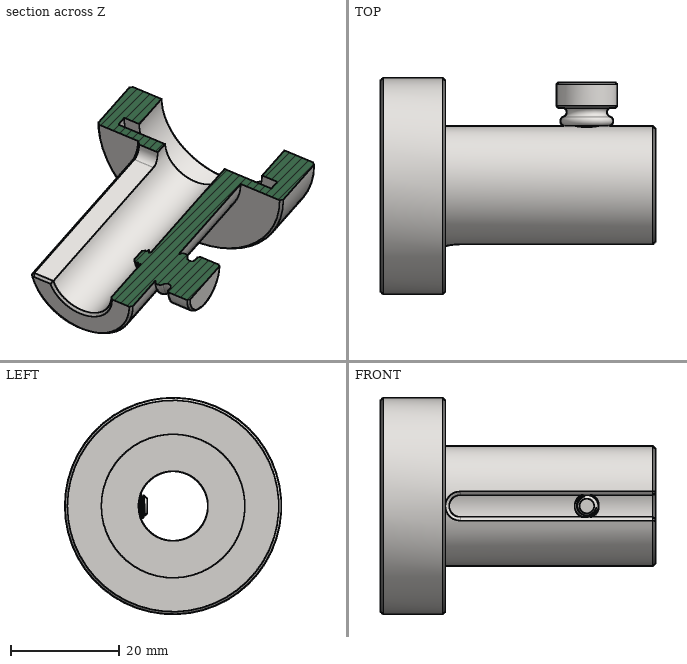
import cadquery as cq
import math

total_length = 50.8
flange_length = 12.0
flange_radius = 20.005
shaft_radius = 11.1
edge_chamfer = 0.5

counterbore_radius = 13.25
counterbore_lip = 8.0
undercut_radius = 16.5
counterbore_depth = 10.0
bore_radius = 6.4

slot_half_width = 2.0
slot_bevel = 0.7
slot_center_x = flange_length + slot_half_width + slot_bevel

screw_x = 38.1
knob_radius = 5.65
knob_top = 19.2
knob_bottom = 14.4
knob_chamfer = 0.4
collar_tube_radius = 0.9
collar_center_radius = 4.0
collar_center_height = shaft_radius + collar_tube_radius
neck_start_angle = math.radians(70)
neck_arc_radius = 0.85

thread_radius = 2.25
thread_pitch = 0.75
core_radius = 1.75
root_overlap = 0.1
ridge_base_radius = core_radius - root_overlap
ridge_base_width = 0.65
ridge_crest_width = thread_pitch / 8
thread_start = 3.91
thread_turns = 5
thread_clearance = 0.25
tip_radius = 1.35
tip_height = 4.75
stem_root = bore_radius + 1


def x_cylinder(radius, start, end):
    """Cylinder on the main axis between two X stations."""
    return cq.Workplane("YZ").workplane(offset=start).circle(radius).extrude(end - start)


def make_shaft():
    """Bored shaft with a bevelled slot and a chamfered free end."""
    shaft = x_cylinder(shaft_radius, 0, total_length)
    shaft = shaft.cut(x_cylinder(bore_radius, 0, total_length))
    slot = (
        cq.Workplane("XZ")
        .moveTo(total_length, slot_half_width)
        .lineTo(slot_center_x, slot_half_width)
        .threePointArc((slot_center_x - slot_half_width, 0), (slot_center_x, -slot_half_width))
        .lineTo(total_length, -slot_half_width)
        .close()
        .extrude(2 * shaft_radius)
    )
    shaft = shaft.cut(slot)
    mouth_edges = cq.selectors.BoxSelector(
        (flange_length, -2 * shaft_radius, -2 * slot_half_width),
        (total_length - edge_chamfer / 2, -(shaft_radius + bore_radius) / 2, 2 * slot_half_width),
    )
    shaft = shaft.edges(mouth_edges).chamfer(slot_bevel)
    return shaft.faces(">X").edges().chamfer(edge_chamfer)


def make_flange():
    """Chamfered disc with the shaft bore through it."""
    flange = x_cylinder(flange_radius, 0, flange_length).edges().chamfer(edge_chamfer)
    return flange.cut(x_cylinder(bore_radius, 0, flange_length))


def make_recess():
    """Counterbore with its undercut, as a solid to remove."""
    counterbore = x_cylinder(counterbore_radius, 0, counterbore_depth)
    return counterbore.union(x_cylinder(undercut_radius, counterbore_lip, counterbore_depth))


def make_thread():
    """Screw stem with a helical ridge and a conical tip, standing on its own Z axis."""
    helix = cq.Wire.makeHelix(thread_pitch, thread_turns * thread_pitch, thread_radius)
    helix = helix.translate(cq.Vector(0, 0, thread_start))
    ridge = (
        cq.Workplane("XZ")
        .moveTo(ridge_base_radius, thread_start - ridge_base_width / 2)
        .lineTo(thread_radius, thread_start - ridge_crest_width / 2)
        .lineTo(thread_radius, thread_start + ridge_crest_width / 2)
        .lineTo(ridge_base_radius, thread_start + ridge_base_width / 2)
        .close()
        .sweep(cq.Workplane(helix), isFrenet=True)
    )
    core_length = shaft_radius - tip_height
    core = cq.Workplane("XY", origin=(0, 0, tip_height)).circle(core_radius).extrude(core_length)
    envelope_radius = thread_radius + thread_clearance
    tip_cone = (
        cq.Workplane("XZ")
        .moveTo(0, tip_height)
        .lineTo(tip_radius, tip_height)
        .lineTo(envelope_radius, tip_height + envelope_radius - tip_radius)
        .lineTo(envelope_radius, shaft_radius)
        .lineTo(0, shaft_radius)
        .close()
        .revolve(360, (0, 0, 0), (0, 1, 0))
    )
    return core.intersect(tip_cone).union(ridge.intersect(tip_cone))


def make_knob():
    """Knob, concave neck, rounded collar and plain stem, standing on its own Z axis."""
    collar_outer_radius = collar_center_radius + collar_tube_radius
    neck_start_radius = collar_center_radius + collar_tube_radius * math.cos(neck_start_angle)
    neck_start_height = collar_center_height + collar_tube_radius * math.sin(neck_start_angle)
    neck_center_radius = neck_start_radius + neck_arc_radius * math.cos(neck_start_angle)
    neck_center_height = neck_start_height + neck_arc_radius * math.sin(neck_start_angle)
    neck_radius = neck_center_radius - neck_arc_radius
    neck_rise = knob_bottom - neck_center_height
    neck_end_radius = neck_center_radius - math.sqrt(neck_arc_radius**2 - neck_rise**2)
    return (
        cq.Workplane("XZ")
        .moveTo(0, stem_root)
        .lineTo(thread_radius, stem_root)
        .lineTo(thread_radius, shaft_radius)
        .lineTo(collar_center_radius, shaft_radius)
        .threePointArc((collar_outer_radius, collar_center_height), (neck_start_radius, neck_start_height))
        .threePointArc((neck_radius, neck_center_height), (neck_end_radius, knob_bottom))
        .lineTo(knob_radius - knob_chamfer, knob_bottom)
        .lineTo(knob_radius, knob_bottom + knob_chamfer)
        .lineTo(knob_radius, knob_top - knob_chamfer)
        .lineTo(knob_radius - knob_chamfer, knob_top)
        .lineTo(0, knob_top)
        .close()
        .revolve(360, (0, 0, 0), (0, 1, 0))
    )


def place_screw(shape):
    """Turn an upright screw part to point along +Y at its station on the shaft."""
    return shape.rotate((0, 0, 0), (1, 0, 0), -90).translate((screw_x, 0, 0))


body = make_shaft().union(make_flange()).cut(make_recess())
result = body.union(place_screw(make_knob())).union(place_screw(make_thread()))